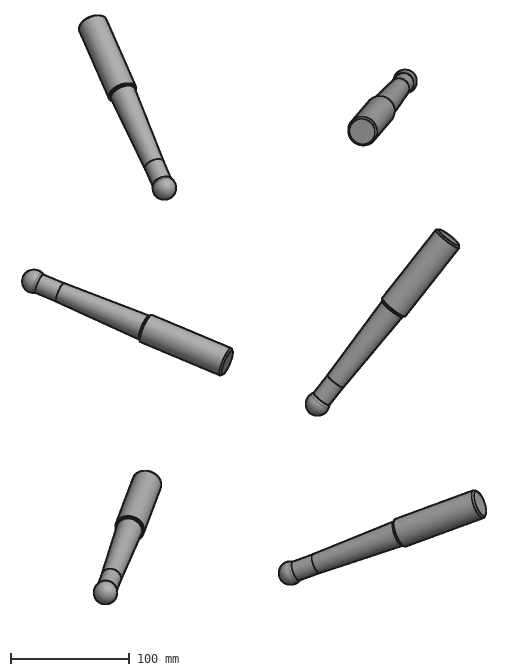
import cadquery as cq
import math

TOTAL_LENGTH = 191.0

SHANK_DIAMETER = 25.0
SHANK_LENGTH = 76.0
SHANK_CHAMFER = 1.5
COLLAR_DIAMETER = 22.3
COLLAR_LENGTH = 1.7
TAPER_START_DIAMETER = 22.0
TAPER_END_DIAMETER = 17.2
HOLDER_LENGTH = 156.2

STEM_DIAMETER = 17.0
STEM_LENGTH = 19.3
BALL_DIAMETER = 20.0
FLARE_START_DIAMETER = 17.4
FLARE_LENGTH = 2.3

taper_start_x = SHANK_LENGTH + COLLAR_LENGTH
flare_start_x = HOLDER_LENGTH + STEM_LENGTH
ball_start_x = flare_start_x + FLARE_LENGTH
ball_radius = BALL_DIAMETER / 2
ball_center_x = TOTAL_LENGTH - ball_radius


def revolve_about_x(profile):
    """Close a half profile and turn it once around the X axis."""
    return profile.close().revolve(360, (0, 0, 0), (1, 0, 0))


def make_holder():
    """Shank with a chamfered rear edge, stepping down to the tapered neck."""
    shank_radius = SHANK_DIAMETER / 2
    collar_radius = COLLAR_DIAMETER / 2
    profile = (
        cq.Workplane("XY")
        .moveTo(0, 0)
        .lineTo(0, shank_radius - SHANK_CHAMFER)
        .lineTo(SHANK_CHAMFER, shank_radius)
        .lineTo(SHANK_LENGTH, shank_radius)
        .lineTo(SHANK_LENGTH, collar_radius)
        .lineTo(taper_start_x, collar_radius)
        .lineTo(taper_start_x, TAPER_START_DIAMETER / 2)
        .lineTo(HOLDER_LENGTH, TAPER_END_DIAMETER / 2)
        .lineTo(HOLDER_LENGTH, 0)
    )
    return revolve_about_x(profile)


def make_ball_head():
    """Stem that butts against the holder and flares out into the ball end."""
    stem_radius = STEM_DIAMETER / 2
    ball_start_radius = math.sqrt(ball_radius**2 - (ball_center_x - ball_start_x) ** 2)
    profile = (
        cq.Workplane("XY")
        .moveTo(HOLDER_LENGTH, 0)
        .lineTo(HOLDER_LENGTH, stem_radius)
        .lineTo(flare_start_x, stem_radius)
        .lineTo(flare_start_x, FLARE_START_DIAMETER / 2)
        .lineTo(ball_start_x, ball_start_radius)
        .threePointArc((ball_center_x, ball_radius), (TOTAL_LENGTH, 0))
    )
    return revolve_about_x(profile)


holder = make_holder()
ball_head = make_ball_head()

result = cq.Compound.makeCompound([holder.val(), ball_head.val()])